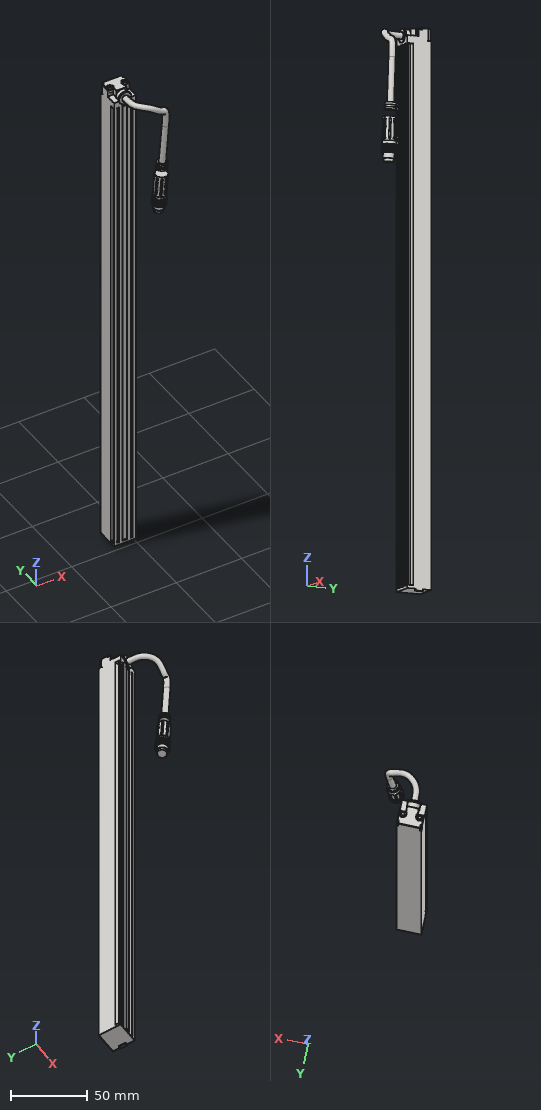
import cadquery as cq
import math

BAR_WIDTH = 17.0
BAR_DEPTH = 17.3
BAR_TOP = 375.8
BAR_BOTTOM = 1.0
TOP_CHAMFER = 0.5
HALF_WIDTH = BAR_WIDTH / 2
FRONT_Y = -BAR_DEPTH / 2
BACK_Y = BAR_DEPTH / 2

FOOT_WIDTH = 2.0
FOOT_DEPTH = 5.3

TOP_CAP = 11.0
BOTTOM_CAP = 2.3
CHANNEL_TOP = BAR_TOP - TOP_CAP
CHANNEL_BOTTOM = BAR_BOTTOM + BOTTOM_CAP
GROOVE_OFFSET = 5.3
GROOVE_WIDTH = 1.5
GROOVE_DEPTH = 1.5
WINDOW_WIDTH = 3.5
WINDOW_DEPTH = 0.8
SIDE_GROOVE_DEPTH = 2.5
SIDE_GROOVE_BACK = 4.0
SIDE_GROOVE_BOTTOM = 3.5
SIDE_GROOVE_LIP = 0.8

SCREW_X = 5.5
SCREW_Y = 1.0
SCREW_POCKET_DIAMETER = 5.0
SCREW_POCKET_DEPTH = 1.0
SCREW_HOLE_DIAMETER = 2.5
SCREW_HOLE_DEPTH = 3.8
RECESS_DEPTH = 5.5
NOTCH_WIDTH = 4.5
NOTCH_BACK = 8.3
GLAND_SLOT_LENGTH = 4.5
BACK_NOTCH_WIDTH = 1.0
BACK_NOTCH_LENGTH = 2.3
BACK_NOTCH_DEPTH = 8.3

GLAND_DIAMETER = 8.5
FLANGE_DIAMETER = 9.5
FLANGE_THICKNESS = 1.0
FLANGE_PROUD = 0.2
CABLE_EXIT_Z = BAR_TOP - FLANGE_DIAMETER / 2

CABLE_DIAMETER = 5.0
CABLE_Y = -25.5
BEND_END = (20.5, CABLE_Y, 352.0)
BEND_POINTS = ((2.3, -20.3, 371.2), (9.0, -25.5, 370.0), (17.3, -26.0, 365.0))
HANG_TILT = math.radians(4.5)
HANG_DIRECTION = cq.Vector(-math.sin(HANG_TILT), 0, -math.cos(HANG_TILT))

COLLAR_START = 30.0
COLLAR_STEPS = ((8.0, 2.0), (7.0, 1.5), (8.0, 1.5))
PLUG_START = 39.5
GRIP_WIDTH = 9.0
GRIP_LENGTH = 16.0
GRIP_SIDES = 8
GRIP_SLOT_WIDTH = 1.0
GRIP_SLOT_DEPTH = 1.0
GRIP_SLOT_START = 2.0
GRIP_SLOT_LENGTH = 12.8
PLUG_STEPS = (
    (9.5, 2.3),
    (8.0, 1.0),
    (10.0, 1.0),
    (9.5, 0.8),
    (10.0, 1.0),
    (9.5, 0.8),
    (10.0, 0.8),
    (8.0, 3.8),
    (6.8, 2.3),
)


def prism(outline, z_start, z_end):
    """Upright prism over a closed (x, y) outline."""
    return cq.Workplane("XY", origin=(0, 0, z_start)).polyline(outline).close().extrude(z_end - z_start)


def block(x_range, y_range, z_range):
    """Box between the given (start, end) pairs."""
    (x0, x1), (y0, y1), (z0, z1) = x_range, y_range, z_range
    return prism([(x0, y0), (x1, y0), (x1, y1), (x0, y1)], z0, z1)


def front_channel(x, width, depth, z_range):
    """Rectangular channel in the front face, centred on x."""
    return block((x - width / 2, x + width / 2), (FRONT_Y, FRONT_Y + depth), z_range)


def side_groove(side, z_range):
    """Groove in one side whose front wall slants outward."""
    outline = [
        (side * HALF_WIDTH, FRONT_Y + SIDE_GROOVE_BACK),
        (side * (HALF_WIDTH - SIDE_GROOVE_DEPTH), FRONT_Y + SIDE_GROOVE_BOTTOM),
        (side * HALF_WIDTH, FRONT_Y + SIDE_GROOVE_LIP),
    ]
    return prism(outline, *z_range)


def grooved_bar():
    """Bar with its lengthwise channels and the lug at the lower end."""
    body = block((-HALF_WIDTH, HALF_WIDTH), (FRONT_Y, BACK_Y), (BAR_BOTTOM, BAR_TOP))
    body = body.faces(">Z").edges().chamfer(TOP_CHAMFER)

    channel_z = (CHANNEL_BOTTOM, CHANNEL_TOP)
    body = body.cut(front_channel(0, WINDOW_WIDTH, WINDOW_DEPTH, channel_z))
    for side in (-1, 1):
        body = body.cut(front_channel(side * GROOVE_OFFSET, GROOVE_WIDTH, GROOVE_DEPTH, channel_z))
        body = body.cut(side_groove(side, channel_z))

    foot_inner_x = HALF_WIDTH - FOOT_WIDTH
    foot = block(
        (foot_inner_x, HALF_WIDTH),
        (-FOOT_DEPTH / 2, FOOT_DEPTH / 2),
        (0, BAR_BOTTOM),
    )
    return body.union(foot)


def cut_top_end(body):
    """Screw pockets, notches and the slot that bares the cable gland."""
    top = cq.Workplane("XY", origin=(0, 0, BAR_TOP))
    screws = top.pushPoints([(-SCREW_X, SCREW_Y), (SCREW_X, SCREW_Y)])
    body = body.cut(screws.circle(SCREW_POCKET_DIAMETER / 2).extrude(-SCREW_POCKET_DEPTH))
    body = body.cut(screws.circle(SCREW_HOLE_DIAMETER / 2).extrude(-SCREW_HOLE_DEPTH))

    recess_z = (BAR_TOP - RECESS_DEPTH, BAR_TOP)
    back_notch_z = (BAR_TOP - BACK_NOTCH_DEPTH, BAR_TOP)
    for side in (-1, 1):
        notch_x = (side * HALF_WIDTH, side * (HALF_WIDTH - NOTCH_WIDTH))
        body = body.cut(block(notch_x, (FRONT_Y, FRONT_Y + NOTCH_BACK), recess_z))
        back_notch_x = (side * HALF_WIDTH, side * (HALF_WIDTH - BACK_NOTCH_WIDTH))
        body = body.cut(block(back_notch_x, (BACK_Y - BACK_NOTCH_LENGTH, BACK_Y), back_notch_z))
    slot = block((-HALF_WIDTH, HALF_WIDTH), (FRONT_Y, FRONT_Y + GLAND_SLOT_LENGTH), recess_z)
    return body.cut(slot)


def exit_rod(diameter, y_back, y_front):
    """Cylinder on the axis along which the cable leaves the bar."""
    plane = cq.Workplane("XZ", origin=(0, y_back, CABLE_EXIT_Z))
    return plane.circle(diameter / 2).extrude(y_back - y_front)


def gland():
    flange_front = FRONT_Y - FLANGE_PROUD
    neck = exit_rod(GLAND_DIAMETER, FRONT_Y + GLAND_SLOT_LENGTH, flange_front)
    return neck.union(exit_rod(FLANGE_DIAMETER, flange_front + FLANGE_THICKNESS, flange_front))


def hanging_plane(distance):
    """Workplane across the hanging axis, facing down it."""
    origin = cq.Vector(*BEND_END) + HANG_DIRECTION * distance
    return cq.Workplane(cq.Plane(origin=origin, xDir=(0, 1, 0), normal=HANG_DIRECTION))


def stepped_rod(start, steps):
    """Stack of discs, given as (diameter, length), down the hanging axis."""
    rod = cq.Workplane("XY")
    for diameter, length in steps:
        rod = rod.union(hanging_plane(start).circle(diameter / 2).extrude(length))
        start += length
    return rod


def cable():
    """Cable that leaves forward, swings toward +X and turns down to a ringed collar."""
    start = (0, FRONT_Y, CABLE_EXIT_Z)
    path = cq.Workplane("XY").spline(
        [start, *BEND_POINTS, BEND_END],
        tangents=[(0, -1, 0), HANG_DIRECTION.toTuple()],
    )
    bend = cq.Workplane("XZ", origin=start).circle(CABLE_DIAMETER / 2).sweep(path)
    hanging = stepped_rod(0, [(CABLE_DIAMETER, COLLAR_START)])
    return bend.union(hanging).union(stepped_rod(COLLAR_START, COLLAR_STEPS))


def plug():
    """Separate plug below the collar: slotted eight-sided grip, then rings and a round nose."""
    half_side_angle = math.pi / GRIP_SIDES
    corner_radius = GRIP_WIDTH / 2 / math.cos(half_side_angle)
    grip = (
        hanging_plane(PLUG_START)
        .transformed(rotate=(0, 0, math.degrees(half_side_angle)))
        .polygon(GRIP_SIDES, 2 * corner_radius)
        .extrude(GRIP_LENGTH)
    )
    slots = (
        hanging_plane(PLUG_START + GRIP_SLOT_START)
        .polarArray(corner_radius, math.degrees(half_side_angle), 360, GRIP_SIDES)
        .rect(2 * GRIP_SLOT_DEPTH, GRIP_SLOT_WIDTH)
        .extrude(GRIP_SLOT_LENGTH)
    )
    return grip.cut(slots).union(stepped_rod(PLUG_START + GRIP_LENGTH, PLUG_STEPS))


light_bar = cut_top_end(grooved_bar()).union(gland()).union(cable())
cable_plug = plug()

result = cq.Compound.makeCompound([light_bar.val(), cable_plug.val()])